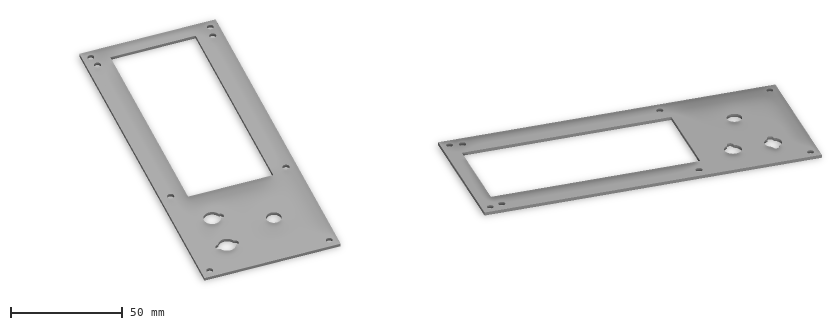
import cadquery as cq

LENGTH = 159.0
WIDTH = 65.0
THICKNESS = 1.55

CORNER_INSET = 4.0
CORNER_HOLE_DIAMETER = 3.0

DISPLAY_X = -23.2
WINDOW_X = -23.0
WINDOW_LENGTH = 98.7
WINDOW_WIDTH = 40.7
DISPLAY_SCREW_SPACING_X = 93.0
DISPLAY_SCREW_SPACING_Y = 55.0
DISPLAY_SCREW_DIAMETER = 3.2

ROUND_HOLE_CENTER = (52.8, 10.7)
ROUND_HOLE_DIAMETER = 7.0

NOTCHED_HOLE_Y = -15.3
NOTCHED_HOLE_DIAMETER = 8.0
NOTCH_DIAMETER = 3.0
SINGLE_NOTCH_X = 43.4
DOUBLE_NOTCH_X = 62.3


def through_holes(points, diameter):
    """Cylinders as tall as the plate, one at each point."""
    return cq.Workplane("XY").pushPoints(points).circle(diameter / 2).extrude(THICKNESS)


def rectangle_corners(center_x, spacing_x, spacing_y):
    """Corner points of a rectangle centred at (center_x, 0)."""
    return [
        (center_x + side_x * spacing_x / 2, side_y * spacing_y / 2)
        for side_x in (-1, 1)
        for side_y in (-1, 1)
    ]


def notched_hole(x, notch_sides):
    """Round hole with a notch on the +Y (1) or -Y (-1) side for each entry."""
    hole = through_holes([(x, NOTCHED_HOLE_Y)], NOTCHED_HOLE_DIAMETER)
    for side in notch_sides:
        notch_y = NOTCHED_HOLE_Y + side * NOTCHED_HOLE_DIAMETER / 2
        hole = hole.union(through_holes([(x, notch_y)], NOTCH_DIAMETER))
    return hole


plate = cq.Workplane("XY").box(LENGTH, WIDTH, THICKNESS, centered=(True, True, False))

window = (
    cq.Workplane("XY")
    .center(WINDOW_X, 0)
    .rect(WINDOW_LENGTH, WINDOW_WIDTH)
    .extrude(THICKNESS)
)

corner_points = rectangle_corners(0, LENGTH - 2 * CORNER_INSET, WIDTH - 2 * CORNER_INSET)
corner_holes = through_holes(corner_points, CORNER_HOLE_DIAMETER)

screw_points = rectangle_corners(DISPLAY_X, DISPLAY_SCREW_SPACING_X, DISPLAY_SCREW_SPACING_Y)
display_screw_holes = through_holes(screw_points, DISPLAY_SCREW_DIAMETER)

round_hole = through_holes([ROUND_HOLE_CENTER], ROUND_HOLE_DIAMETER)

result = (
    plate.cut(window)
    .cut(corner_holes)
    .cut(display_screw_holes)
    .cut(round_hole)
    .cut(notched_hole(SINGLE_NOTCH_X, [1]))
    .cut(notched_hole(DOUBLE_NOTCH_X, [1, -1]))
)